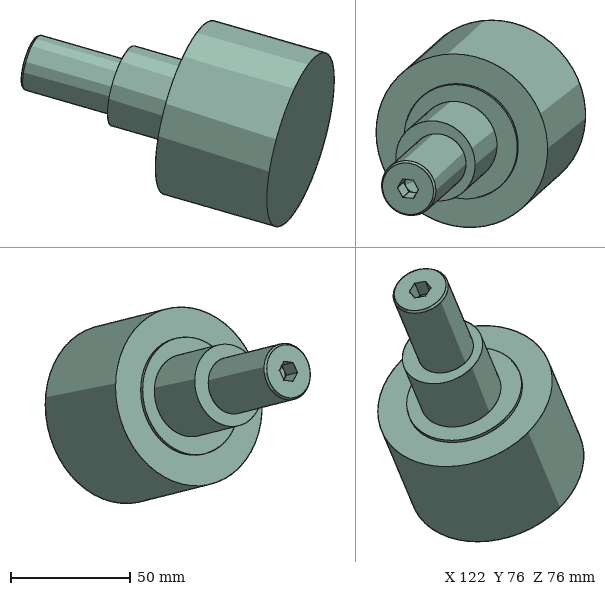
import cadquery as cq
import math

total_length = 122.0
roller_diameter = 76.0

stud_length = 41.0
collar_end = 70.0
roller_start = 71.5

stud_diameter = 24.0
collar_diameter = 35.0
washer_diameter = 50.0
collar_offset = 1.5
chamfer_length = 1.0
chamfer_depth = 0.7

socket_across_flats = 8.0
socket_depth = 8.0
drill_point_angle = 120.0


def cylinder(diameter, start, end, offset_y=0.0):
    """Cylinder along X between two axial stations."""
    profile = cq.Workplane("YZ", origin=(start, offset_y, 0)).circle(diameter / 2)
    return profile.extrude(end - start)


def hex_socket():
    """Hexagonal socket with two corners along Y and a conical drill point at its bottom."""
    across_corners = socket_across_flats / math.cos(math.radians(30))
    hexagon = cq.Workplane("YZ").polygon(6, across_corners).extrude(socket_depth)
    cone_radius = socket_across_flats / 2
    cone_height = cone_radius / math.tan(math.radians(drill_point_angle / 2))
    bottom_center = cq.Vector(socket_depth, 0, 0)
    cone = cq.Solid.makeCone(cone_radius, 0, cone_height, bottom_center, cq.Vector(1, 0, 0))
    return hexagon.union(cq.Workplane(cone))


def chamfered_stud():
    """Stud along X, its free end chamfered slightly longer than deep."""
    radius = stud_diameter / 2
    profile = cq.Workplane("XY").polyline([
        (0, 0),
        (0, radius - chamfer_depth),
        (chamfer_length, radius),
        (stud_length, radius),
        (stud_length, 0),
    ])
    return profile.close().revolve(360, (0, 0, 0), (1, 0, 0))


stud = chamfered_stud()
collar = cylinder(collar_diameter, stud_length, collar_end, collar_offset)
washer = cylinder(washer_diameter, collar_end, roller_start)
roller = cylinder(roller_diameter, roller_start, total_length)

result = stud.union(collar).union(washer).union(roller).cut(hex_socket())